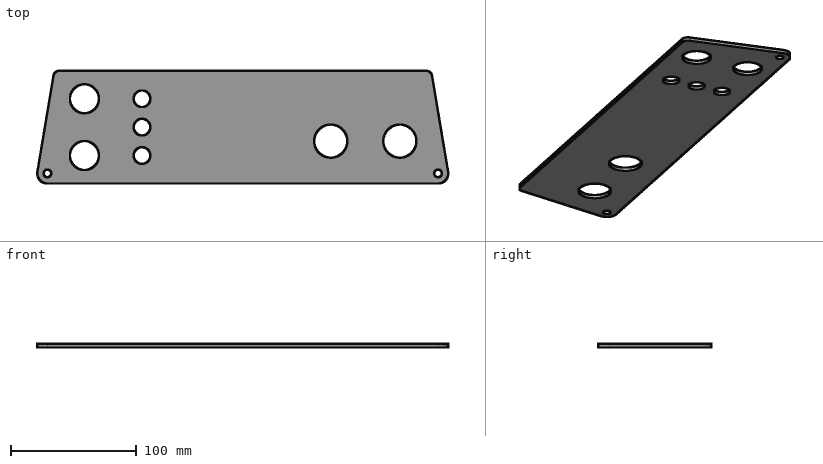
import cadquery as cq
import math

length = 327.0
width = 90.0
thickness = 3.0
side_lean = 9.5
front_corner_radius = 8.2
back_corner_radius = 5.0

mount_hole_diameter = 6.0
left_hole_diameter = 23.0
small_hole_diameter = 13.0
right_hole_diameter = 26.0
left_hole_x = -126.0
small_hole_x = -80.0
row_pitch = 22.5
right_hole_xs = (70.0, 125.0)
right_hole_y = -11.0

mount_hole_x = length / 2 - front_corner_radius
mount_hole_y = -width / 2 + front_corner_radius
corner_half_turn = math.radians((90 + side_lean) / 2)
front_half_length = mount_hole_x + front_corner_radius * math.tan(corner_half_turn)
back_half_length = front_half_length - width * math.tan(math.radians(side_lean))


def make_plate():
    outline = [
        (-front_half_length, -width / 2),
        (front_half_length, -width / 2),
        (back_half_length, width / 2),
        (-back_half_length, width / 2),
    ]
    plate = cq.Workplane("XY").polyline(outline).close().extrude(thickness)
    plate = plate.edges("|Z and <Y").fillet(front_corner_radius)
    return plate.edges("|Z and >Y").fillet(back_corner_radius)


def cut_holes(plate, centers, diameter):
    cutters = cq.Workplane("XY").pushPoints(centers).circle(diameter / 2).extrude(thickness)
    return plate.cut(cutters)


mount_centers = [(side * mount_hole_x, mount_hole_y) for side in (-1, 1)]
left_centers = [(left_hole_x, row * row_pitch) for row in (-1, 1)]
small_centers = [(small_hole_x, row * row_pitch) for row in (-1, 0, 1)]
right_centers = [(x, right_hole_y) for x in right_hole_xs]

result = make_plate()
result = cut_holes(result, mount_centers, mount_hole_diameter)
result = cut_holes(result, left_centers, left_hole_diameter)
result = cut_holes(result, small_centers, small_hole_diameter)
result = cut_holes(result, right_centers, right_hole_diameter)